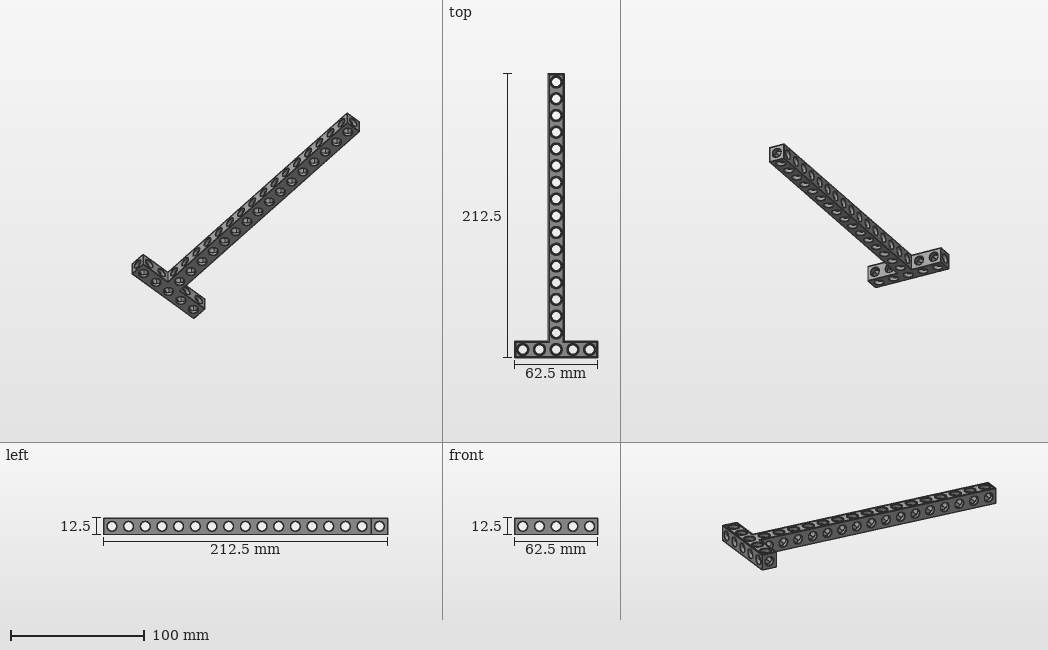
import cadquery as cq

pitch = 12.5
crossbar_cells = 5
stem_cells = 16
hole_diameter = 7.0
wall = 1.1
recess_depth = 0.2
chamfer = 0.3
side_hole_offset = 0.5

half_pitch = pitch / 2
crossbar_length = crossbar_cells * pitch
total_length = (stem_cells + 1) * pitch
hole_radius = hole_diameter / 2
ring_radius = hole_radius + wall
far_end = total_length - half_pitch

crossbar_xs = [(i - (crossbar_cells - 1) / 2) * pitch for i in range(crossbar_cells)]
stem_ys = [(i + 1) * pitch for i in range(stem_cells)]
cell_centres = [(x, 0) for x in crossbar_xs] + [(0, y) for y in stem_ys]

first_side_hole_y = stem_ys[0] + side_hole_offset
side_hole_pitch = (stem_ys[-1] - first_side_hole_y) / (stem_cells - 1)
side_hole_ys = [first_side_hole_y + i * side_hole_pitch for i in range(stem_cells)]


def crossing_bars(inset, height):
    """The crossbar and the stem as two blocks on Z = 0, with side faces moved inward by inset."""
    width = pitch - 2 * inset
    on_base = (True, True, False)
    crossbar = cq.Workplane("XY").box(crossbar_length - 2 * inset, width, height, centered=on_base)
    stem_centre = (0, far_end - total_length / 2, 0)
    stem = cq.Workplane("XY", origin=stem_centre).box(
        width, total_length - 2 * inset, height, centered=on_base
    )
    return crossbar, stem


def tee_body():
    """T-shaped body of two bars, each chamfered along all of its edges."""
    crossbar, stem = crossing_bars(0, pitch)
    return crossbar.edges().chamfer(chamfer).union(stem.edges().chamfer(chamfer))


def top_recess():
    """Shallow recess inside the rim, leaving a ring around each vertical hole."""
    crossbar, stem = crossing_bars(wall, recess_depth)
    rings = cq.Workplane("XY").pushPoints(cell_centres).circle(ring_radius).extrude(recess_depth)
    return crossbar.union(stem).cut(rings).translate((0, 0, pitch - recess_depth))


def through_hole(start, direction, length):
    """Cutter for a round hole from start along direction, chamfered at both mouths."""
    start = cq.Vector(*start)
    direction = cq.Vector(*direction)
    end = start + direction * length
    mouth_radius = hole_radius + chamfer
    bore = cq.Solid.makeCylinder(hole_radius, length, start, direction)
    near_mouth = cq.Solid.makeCone(mouth_radius, hole_radius, chamfer, start, direction)
    far_mouth = cq.Solid.makeCone(mouth_radius, hole_radius, chamfer, end, direction * -1)
    return [bore, near_mouth, far_mouth]


def hole_cutters():
    """Cutters for every hole: vertical ones, and horizontal ones through the sides and ends."""
    cutters = []
    for x, y in cell_centres:
        cutters += through_hole((x, y, 0), (0, 0, 1), pitch)
    for x in crossbar_xs:
        length = total_length if x == 0 else pitch
        cutters += through_hole((x, -half_pitch, half_pitch), (0, 1, 0), length)
    cutters += through_hole((-crossbar_length / 2, 0, half_pitch), (1, 0, 0), crossbar_length)
    for y in side_hole_ys:
        cutters += through_hole((-half_pitch, y, half_pitch), (1, 0, 0), pitch)
    return cutters


body = tee_body().cut(top_recess())
drilled = body.val().cut(*hole_cutters())
result = cq.Workplane("XY").newObject(drilled.Solids())